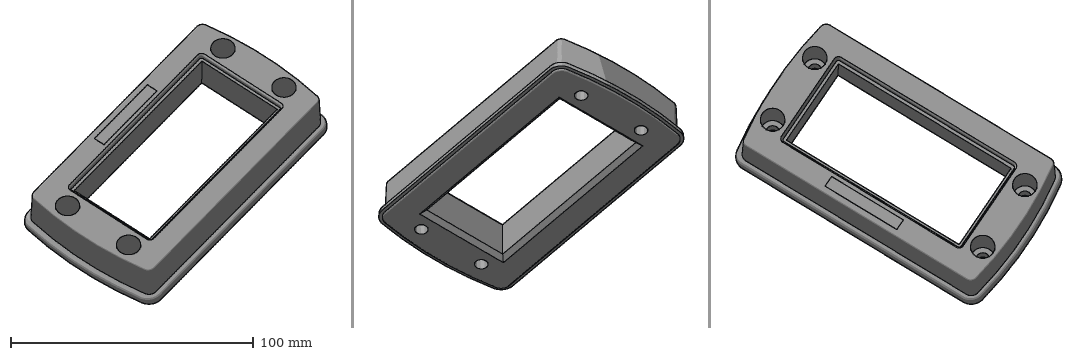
import cadquery as cq
import math

length = 125.5
width = 70.0
height = 20.6

end_bow_radius = 172.0
corner_radius = 6.3

foot_height = 1.19
foot_inset = 1.5
foot_rounding = 1.0
flange_top = 4.5
flange_rounding = 2.0

outer_draft = 2.0

body_inset = 2.6
body_rounding = 1.1

window_width = 39.7
window_length = 84.6
window_lip = 1.0
window_draft = 2.0
window_bottom_chamfer = 2.0
chamfer_angle = 45.0
seat_width = 42.5
seat_length = 87.2
seat_depth = 2.3
seat_corner_radius = 1.1
seat_chamfer = 0.9
seat_rounding = 0.8

pick_margin = 0.1

hole_spacing_x = 32.1
hole_spacing_y = 102.9
hole_diameter = 5.5
counterbore_diameter = 10.0
counterbore_depth = 15.1

label_width = 5.0
label_length = 35.1
label_center_x = -26.4
label_depth = 0.1


def bowed_plate(inset, bottom, thickness, draft=0.0):
    """Plate with the flange outline moved inwards by `inset`."""
    half_width = width / 2 - inset
    half_length = length / 2 - inset
    bow_radius = end_bow_radius - inset
    bow_rise = bow_radius - math.sqrt(bow_radius**2 - half_width**2)
    shoulder = half_length - bow_rise
    outline = (
        cq.Sketch()
        .segment((-half_width, -shoulder), (-half_width, shoulder))
        .arc((-half_width, shoulder), (0, half_length), (half_width, shoulder))
        .segment((half_width, shoulder), (half_width, -shoulder))
        .arc((half_width, -shoulder), (0, -half_length), (-half_width, -shoulder))
        .assemble()
        .vertices()
        .fillet(corner_radius - inset)
    )
    return cq.Workplane("XY", origin=(0, 0, bottom)).placeSketch(outline).extrude(thickness, taper=draft)


def make_foot():
    foot = bowed_plate(foot_inset, 0, foot_height)
    return foot.faces("<Z").edges().fillet(foot_rounding)


def make_flange():
    flange = bowed_plate(0, foot_height, flange_top - foot_height, outer_draft)
    return flange.faces(">Z").edges().fillet(flange_rounding)


def make_body():
    body = bowed_plate(body_inset, flange_top, height - flange_top, outer_draft)
    return body.faces(">Z").edges().fillet(body_rounding)


def seat_outline(level):
    """Select the edges running around the seat wall at the given level."""
    half_x = seat_width / 2 + pick_margin
    half_y = seat_length / 2 + pick_margin
    return cq.selectors.BoxSelector(
        (-half_x, -half_y, level - pick_margin),
        (half_x, half_y, level + pick_margin),
    )


def cut_window(part):
    seat_floor = height - seat_depth
    lip_bottom = seat_floor - window_lip
    seat = (
        cq.Workplane("XY", origin=(0, 0, seat_floor))
        .rect(seat_width, seat_length)
        .extrude(seat_depth)
        .edges("|Z")
        .fillet(seat_corner_radius)
    )
    lip_opening = (
        cq.Workplane("XY", origin=(0, 0, lip_bottom))
        .rect(window_width, window_length)
        .extrude(window_lip)
    )
    flare = lip_bottom * math.tan(math.radians(window_draft))
    bottom_width = window_width + 2 * flare
    bottom_length = window_length + 2 * flare
    flared_opening = (
        cq.Workplane("XY")
        .rect(bottom_width, bottom_length)
        .extrude(lip_bottom, taper=window_draft)
    )
    bottom_chamfer = (
        cq.Workplane("XY")
        .rect(bottom_width + 2 * window_bottom_chamfer, bottom_length + 2 * window_bottom_chamfer)
        .extrude(2 * window_bottom_chamfer, taper=chamfer_angle)
    )
    part = part.cut(seat)
    part = part.edges(seat_outline(height)).chamfer(seat_chamfer)
    part = part.edges(seat_outline(height - seat_chamfer)).fillet(seat_rounding)
    return part.cut(lip_opening).cut(flared_opening).cut(bottom_chamfer)


def cut_screw_holes(part):
    return (
        part.faces(">Z")
        .workplane(origin=(0, 0, height))
        .rect(hole_spacing_x, hole_spacing_y, forConstruction=True)
        .vertices()
        .cboreHole(hole_diameter, counterbore_diameter, counterbore_depth)
    )


def cut_label_recess(part):
    recess = (
        cq.Workplane("XY", origin=(label_center_x, 0, height - label_depth))
        .rect(label_width, label_length)
        .extrude(label_depth)
    )
    return part.cut(recess)


result = make_foot().union(make_flange()).union(make_body())
result = cut_window(result)
result = cut_screw_holes(result)
result = cut_label_recess(result)